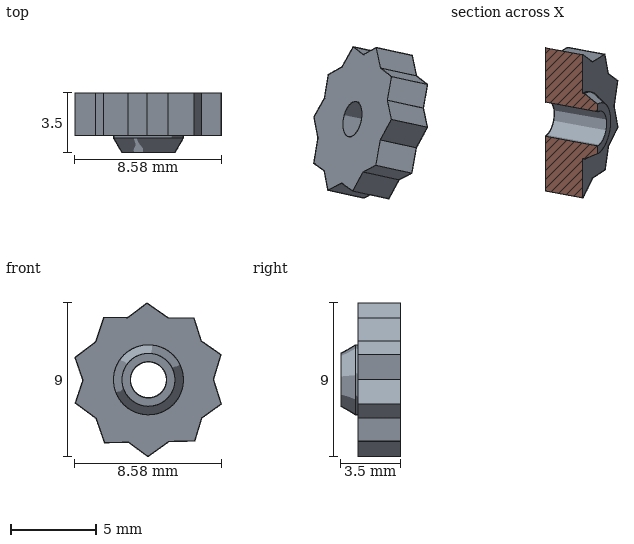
import cadquery as cq
import math

tip_radius = 4.5
pentagon_sides = 5
first_pentagon_angle = 91.1
second_pentagon_angle = 125.6
wheel_thickness = 2.5

hub_base_diameter = 4.1
hub_end_diameter = 3.1
hub_height = 1.0
hub_taper_angle = 30.0

bore_diameter = 2.1

hub_taper_length = (hub_base_diameter - hub_end_diameter) / 2 / math.tan(math.radians(hub_taper_angle))
hub_straight_length = hub_height - hub_taper_length


def pentagon_prism(start_angle):
    """Pentagonal prism running from the hub-side face at Y = 0 to +Y."""
    corners = []
    for i in range(pentagon_sides):
        angle = math.radians(start_angle + i * 360 / pentagon_sides)
        corners.append((tip_radius * math.cos(angle), tip_radius * math.sin(angle)))
    return cq.Workplane("XZ").polyline(corners).close().extrude(-wheel_thickness)


def star_wheel():
    return pentagon_prism(first_pentagon_angle).union(pentagon_prism(second_pentagon_angle))


def hub():
    """Straight collar followed by a cone, revolved about the Y axis."""
    base_radius = hub_base_diameter / 2
    profile = [
        (0, 0),
        (base_radius, 0),
        (base_radius, -hub_straight_length),
        (hub_end_diameter / 2, -hub_height),
        (0, -hub_height),
    ]
    return cq.Workplane("XY").polyline(profile).close().revolve(360, (0, 0, 0), (0, 1, 0))


def bore():
    """Through hole along Y, from the hub end to the back of the wheel."""
    start = cq.Workplane("XZ", origin=(0, -hub_height, 0))
    return start.circle(bore_diameter / 2).extrude(-(hub_height + wheel_thickness))


result = star_wheel().union(hub()).cut(bore())